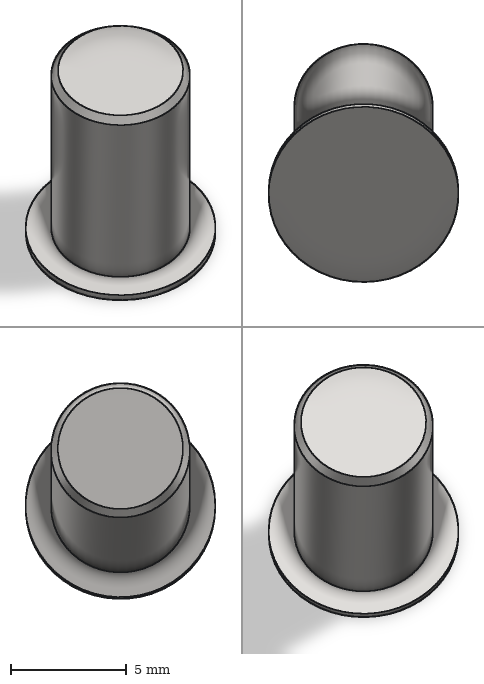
import cadquery as cq

total_height = 10.0
flange_diameter = 8.2
flange_thickness = 0.32
pin_diameter = 6.0
tip_chamfer = 0.3


def make_flange():
    """Thin round flange with its underside on Z = 0."""
    return cq.Workplane("XY").circle(flange_diameter / 2).extrude(flange_thickness)


def make_pin():
    """Cylindrical pin standing on Z = 0, with a chamfered top edge."""
    pin = cq.Workplane("XY").circle(pin_diameter / 2).extrude(total_height)
    return pin.faces(">Z").edges().chamfer(tip_chamfer)


result = make_flange().union(make_pin())